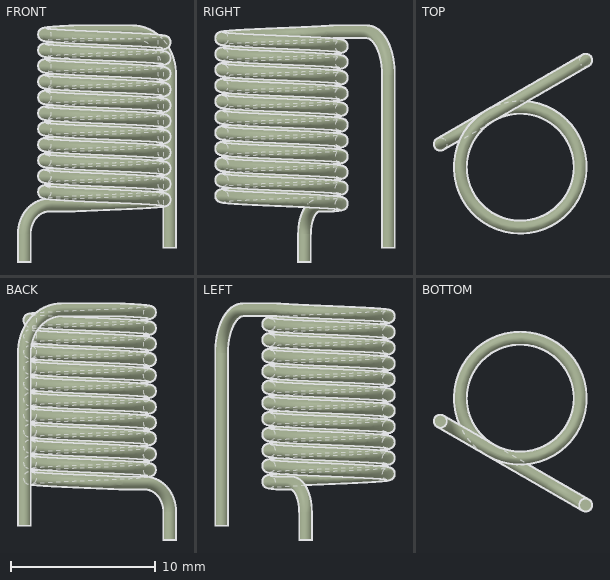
import cadquery as cq
import math

overall_height = 16.45
wire_diameter = 0.9
coil_radius = 4.16
turns = 11
tangent_angle = 120

upper_reach = 7.65
lower_reach = 4.01
upper_bend_radius = 3.0
lower_bend_radius = 2.0
upper_drop = 15.0
lower_drop = 3.96

wire_radius = wire_diameter / 2
coil_height = overall_height - wire_radius - lower_drop
pitch = coil_height / turns

angle = math.radians(tangent_angle)
leg_direction = (math.sin(angle), -math.cos(angle), 0)
coil_normal = (math.cos(angle), math.sin(angle), 0)
tangent_point = (coil_radius * math.cos(angle), coil_radius * math.sin(angle), 0)
leg_plane = cq.Plane(
    origin=tangent_point,
    xDir=leg_direction,
    normal=tuple(-component for component in coil_normal),
)


def make_coil():
    """Left-handed helical wire, starting and ending at the tangent point."""
    helix = cq.Wire.makeHelix(pitch, coil_height, coil_radius, lefthand=True)
    section = cq.Workplane("XZ").center(coil_radius, 0).circle(wire_radius)
    coil = section.sweep(cq.Workplane(helix), isFrenet=True)
    return coil.rotate((0, 0, 0), (0, 0, 1), tangent_angle)


def make_leg(side, height, reach, bend_radius, drop):
    """Straight run from the coil, a quarter bend, then a straight leg down."""
    bend_start = reach - bend_radius
    bend_mid_x = bend_start + bend_radius * math.sin(math.pi / 4)
    bend_mid_drop = bend_radius * (1 - math.cos(math.pi / 4))
    path = (
        cq.Workplane(leg_plane)
        .moveTo(0, height)
        .lineTo(side * bend_start, height)
        .threePointArc(
            (side * bend_mid_x, height - bend_mid_drop),
            (side * reach, height - bend_radius),
        )
        .lineTo(side * reach, height - drop)
    )
    section_plane = cq.Plane(
        origin=leg_plane.toWorldCoords((0, height)),
        xDir=coil_normal,
        normal=leg_direction,
    )
    return cq.Workplane(section_plane).circle(wire_radius).sweep(path)


upper_leg = make_leg(1, coil_height, upper_reach, upper_bend_radius, upper_drop)
lower_leg = make_leg(-1, 0, lower_reach, lower_bend_radius, lower_drop)

result = make_coil().union(upper_leg).union(lower_leg)